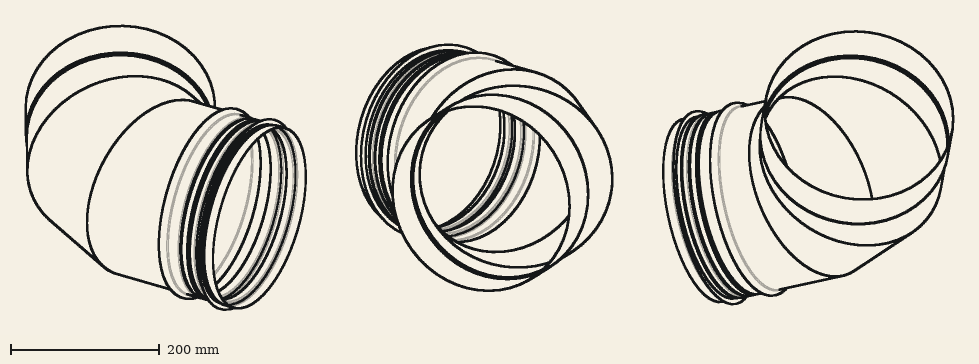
import cadquery as cq
import math

gore_turn = 30.0
wall = 0.7
pipe_bore_radius = 250.5 / 2
pipe_radius = pipe_bore_radius + wall
collar_radius = 254.7 / 2

overall_length = 418.5
overall_width = 358.0

middle_length = 92.0
socket_length = 134.0

collar_length = 71.0
collar_taper = 4.0

bead_x = 132.5
bead_crest_radius = 264.8 / 2
bead_height = bead_crest_radius - pipe_radius
bead_root_radius = 1.3

mouth_radius = 2.5
floor_corner_radius = 1.3
groove_floor_radius = 240.5 / 2
band_groove_x = 165.0
band_groove_half_width = 7.0
lip_groove_x = 188.2
lip_groove_half_width = 6.0

shoulder_radius = 248.5 / 2
step_length = 1.0
band_radius = 251.5 / 2
band_half_width = 4.0
lip_base_radius = 250.0 / 2
lip_base_half_width = 5.0
lip_tip_radius = bead_crest_radius
lip_x = 189.5
lip_thickness = 1.0
lip_lean = 1.0

mitre_block = 3 * pipe_radius

middle_direction = 180 - gore_turn
socket_direction = middle_direction - gore_turn
first_mitre_direction = (180 + middle_direction) / 2
second_mitre_direction = (middle_direction + socket_direction) / 2

outlet_x = overall_length / 2
axis_y = bead_crest_radius - overall_width / 2
middle_angle = math.radians(middle_direction)
socket_angle = math.radians(socket_direction)
socket_face_x = -overall_length / 2 + collar_radius * math.sin(socket_angle)
second_mitre_x = socket_face_x - socket_length * math.cos(socket_angle)
mitre_x = second_mitre_x - middle_length * math.cos(middle_angle)
first_mitre = (mitre_x, axis_y)
second_mitre = (second_mitre_x, axis_y + middle_length * math.sin(middle_angle))


def half_space(corner, direction_degrees):
    """Large block filling the side of a mitre plane that the direction points to."""
    span = 2 * mitre_block
    block = cq.Workplane("XY").box(mitre_block, span, span, centered=(False, True, True))
    return block.rotate((0, 0, 0), (0, 0, 1), direction_degrees).translate((*corner, 0))


first_mitre_beyond = half_space(first_mitre, first_mitre_direction)
second_mitre_beyond = half_space(second_mitre, second_mitre_direction)


def place(body, start, direction_degrees):
    """Move a body built along +X from the origin onto the centreline."""
    return body.rotate((0, 0, 0), (0, 0, 1), direction_degrees).translate((*start, 0))


def revolve_x(outline):
    """Close an outline drawn as (position along X, radius) and spin it around the X axis."""
    return outline.close().revolve(360, (0, 0, 0), (1, 0, 0))


def tube(start, end):
    """Plain pipe wall along X."""
    outline = (
        cq.Workplane("XY")
        .moveTo(start, pipe_bore_radius)
        .lineTo(start, pipe_radius)
        .lineTo(end, pipe_radius)
        .lineTo(end, pipe_bore_radius)
    )
    return revolve_x(outline)


def make_socket_gore():
    """End gore that widens through a short cone into the socket."""
    collar_start = socket_length - collar_length
    taper_start = collar_start - collar_taper
    outline = (
        cq.Workplane("XY")
        .moveTo(-pipe_radius, pipe_radius)
        .lineTo(taper_start, pipe_radius)
        .lineTo(collar_start, collar_radius)
        .lineTo(socket_length, collar_radius)
        .lineTo(socket_length, collar_radius - wall)
        .lineTo(collar_start, collar_radius - wall)
        .lineTo(taper_start, pipe_bore_radius)
        .lineTo(-pipe_radius, pipe_bore_radius)
    )
    gore = place(revolve_x(outline), second_mitre, socket_direction)
    return gore.intersect(second_mitre_beyond)


def make_middle_gore():
    """Plain gore mitred at both ends."""
    gore = place(tube(-pipe_radius, middle_length + pipe_radius), first_mitre, middle_direction)
    return gore.intersect(first_mitre_beyond).cut(second_mitre_beyond)


def add_bead(outline, inset):
    """Trace the half-round bead and its rounded roots."""
    surface = pipe_radius - inset
    crest = bead_height - inset
    root = bead_root_radius + inset
    centre_gap = bead_height + bead_root_radius
    root_offset = math.sqrt(centre_gap**2 - bead_root_radius**2)
    slope = math.asin(bead_root_radius / centre_gap)
    flank_x = crest * math.cos(slope)
    flank_y = pipe_radius + crest * math.sin(slope)
    half_turn = (math.pi / 2 - slope) / 2
    root_mid_x = root_offset - root * math.sin(half_turn)
    root_mid_y = pipe_radius + bead_root_radius - root * math.cos(half_turn)
    return (
        outline.lineTo(bead_x - root_offset, surface)
        .threePointArc((bead_x - root_mid_x, root_mid_y), (bead_x - flank_x, flank_y))
        .threePointArc((bead_x, pipe_radius + crest), (bead_x + flank_x, flank_y))
        .threePointArc((bead_x + root_mid_x, root_mid_y), (bead_x + root_offset, surface))
    )


def add_groove(outline, centre, half_width, inset):
    """Trace a groove with rounded mouth edges and rounded floor corners."""
    surface = pipe_radius - inset
    floor = groove_floor_radius - inset
    wall_x = half_width + inset
    mouth_x = half_width + mouth_radius
    mouth_y = pipe_radius - mouth_radius
    mouth_bend = (mouth_radius - inset) * math.sqrt(0.5)
    corner_x = half_width - floor_corner_radius
    corner_y = groove_floor_radius + floor_corner_radius
    corner_bend = (floor_corner_radius + inset) * math.sqrt(0.5)
    return (
        outline.lineTo(centre - mouth_x, surface)
        .threePointArc((centre - mouth_x + mouth_bend, mouth_y + mouth_bend), (centre - wall_x, mouth_y))
        .lineTo(centre - wall_x, corner_y)
        .threePointArc((centre - corner_x - corner_bend, corner_y - corner_bend), (centre - corner_x, floor))
        .lineTo(centre + corner_x, floor)
        .threePointArc((centre + corner_x + corner_bend, corner_y - corner_bend), (centre + wall_x, corner_y))
        .lineTo(centre + wall_x, mouth_y)
        .threePointArc((centre + mouth_x - mouth_bend, mouth_y + mouth_bend), (centre + mouth_x, surface))
    )


def grooved_core(inset):
    """Solid bounded by the grooved end's outer skin, shrunk inward by an inset."""
    start = mitre_x - pipe_radius
    outline = cq.Workplane("XY").moveTo(start, 0).lineTo(start, pipe_radius - inset)
    outline = add_bead(outline, inset)
    outline = add_groove(outline, band_groove_x, band_groove_half_width, inset)
    outline = add_groove(outline, lip_groove_x, lip_groove_half_width, inset)
    outline = outline.lineTo(outlet_x, pipe_radius - inset).lineTo(outlet_x, 0)
    return revolve_x(outline)


def make_grooved_gore():
    """End gore with the bead and both seal grooves rolled into its sheet."""
    shell = grooved_core(0).cut(grooved_core(wall))
    return shell.translate((0, axis_y, 0)).cut(first_mitre_beyond)


def start_seal(centre, groove_half_width, raised_half_width, raised_radius):
    """Trace a seal from its right end along the floor and up to the left edge of its raised middle."""
    end_x = groove_half_width + mouth_radius
    return (
        cq.Workplane("XY")
        .moveTo(centre + end_x, groove_floor_radius)
        .lineTo(centre - end_x, groove_floor_radius)
        .lineTo(centre - end_x, shoulder_radius)
        .lineTo(centre - raised_half_width - step_length, shoulder_radius)
        .lineTo(centre - raised_half_width, raised_radius)
    )


def finish_seal(outline, centre, groove_half_width, raised_half_width, raised_radius):
    """Trace the right half of a seal, then trim the ring to the shape of its groove."""
    end_x = groove_half_width + mouth_radius
    outline = (
        outline.lineTo(centre + raised_half_width, raised_radius)
        .lineTo(centre + raised_half_width + step_length, shoulder_radius)
        .lineTo(centre + end_x, shoulder_radius)
    )
    return revolve_x(outline).cut(grooved_core(0)).translate((0, axis_y, 0))


def make_band_seal():
    """Rubber ring with a flat raised band."""
    sizes = (band_groove_x, band_groove_half_width, band_half_width, band_radius)
    return finish_seal(start_seal(*sizes), *sizes)


def make_lip_seal():
    """Rubber ring with a thin lip leaning toward the outlet."""
    sizes = (lip_groove_x, lip_groove_half_width, lip_base_half_width, lip_base_radius)
    outline = (
        start_seal(*sizes)
        .lineTo(lip_x, lip_base_radius)
        .lineTo(lip_x + lip_lean, lip_tip_radius)
        .lineTo(lip_x + lip_lean + lip_thickness, lip_tip_radius)
        .lineTo(lip_x + lip_thickness, lip_base_radius)
    )
    return finish_seal(outline, *sizes)


socket_gore = make_socket_gore()
middle_gore = make_middle_gore()
grooved_gore = make_grooved_gore()
band_seal = make_band_seal()
lip_seal = make_lip_seal()

result = cq.Compound.makeCompound(
    [
        socket_gore.solids().val(),
        middle_gore.solids().val(),
        grooved_gore.solids().val(),
        band_seal.solids().val(),
        lip_seal.solids().val(),
    ]
)